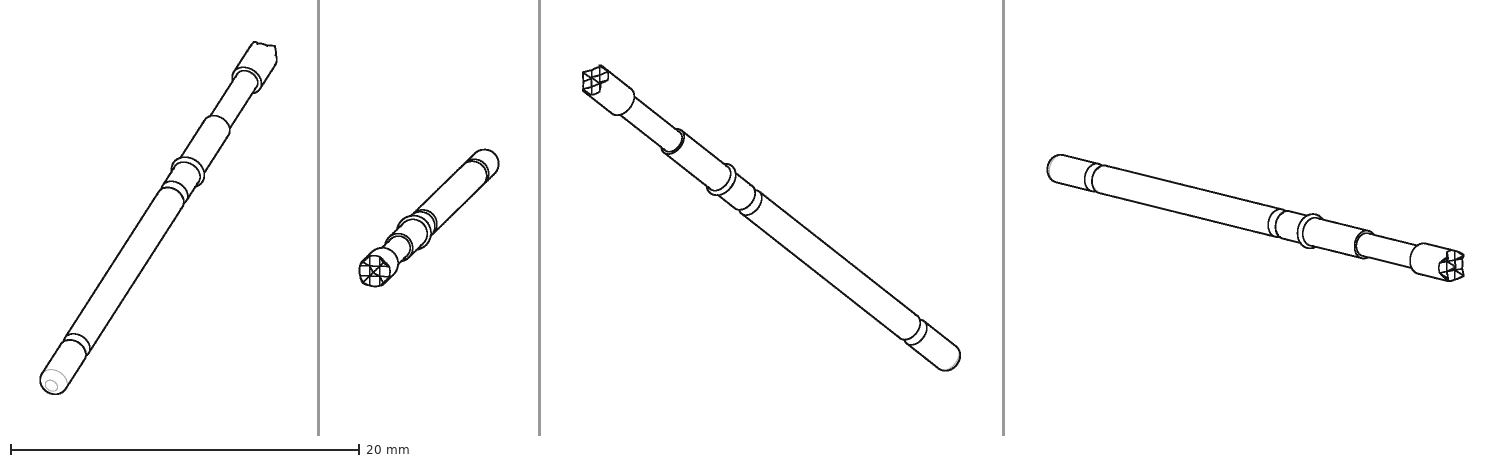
import cadquery as cq

total_length = 35.4

head_radius = 0.9
head_length = 3.0
tooth_pitch = 0.59
tooth_height = 0.45
tooth_point_width = 0.01

plunger_radius = 0.67

barrel_radius = 0.815
barrel_front_from_tip = 8.0
end_round_radius = 0.44

ring_outer_radius = 1.0
ring_from_tip = 12.75

groove_distances_from_tip = (15.3, 31.5)
groove_width = 0.64
groove_depth = 0.15

tip_y = total_length / 2
tail_y = -total_length / 2
head_base_y = tip_y - head_length
tooth_floor_y = tip_y - tooth_height
barrel_front_y = tip_y - barrel_front_from_tip


def make_head():
    """Cylinder whose crown carries a centre spike and four corner spikes, trimmed to the head diameter."""
    blank = cq.Workplane("XZ", origin=(0, tip_y, 0)).circle(head_radius).extrude(head_length)
    core = (
        cq.Workplane("XZ", origin=(0, tooth_floor_y, 0))
        .circle(head_radius)
        .extrude(head_length - tooth_height)
    )
    corners = [(sx * tooth_pitch, sz * tooth_pitch) for sx in (-1, 1) for sz in (-1, 1)]
    for x, z in [(0, 0)] + corners:
        core = core.union(make_tooth(x, z).intersect(blank))
    return core


def make_tooth(x, z):
    """Square pyramid, one pitch wide at its base, pointing along +Y."""
    return (
        cq.Workplane("XZ", origin=(x, tooth_floor_y, z))
        .rect(tooth_pitch, tooth_pitch)
        .workplane(offset=-tooth_height)
        .rect(tooth_point_width, tooth_point_width)
        .loft(ruled=True)
    )


def make_plunger():
    """Plain rod joining the head to the barrel."""
    rod_length = head_base_y - barrel_front_y
    return cq.Workplane("XZ", origin=(0, head_base_y, 0)).circle(plunger_radius).extrude(rod_length)


def make_barrel():
    """Barrel with a square front shoulder and a rounded tail with a small flat."""
    diagonal_inset = end_round_radius * (1 - 0.5**0.5)
    return (
        cq.Workplane("XY")
        .moveTo(0, barrel_front_y)
        .lineTo(barrel_radius, barrel_front_y)
        .lineTo(barrel_radius, tail_y + end_round_radius)
        .threePointArc(
            (barrel_radius - diagonal_inset, tail_y + diagonal_inset),
            (barrel_radius - end_round_radius, tail_y),
        )
        .lineTo(0, tail_y)
        .close()
        .revolve(360, (0, 0, 0), (0, 1, 0))
    )


def make_press_ring():
    """Half-round bead standing proud of the barrel."""
    bead_radius = ring_outer_radius - barrel_radius
    ring_y = tip_y - ring_from_tip
    return (
        cq.Workplane("XY")
        .moveTo(0, ring_y + bead_radius)
        .lineTo(barrel_radius, ring_y + bead_radius)
        .threePointArc((ring_outer_radius, ring_y), (barrel_radius, ring_y - bead_radius))
        .lineTo(0, ring_y - bead_radius)
        .close()
        .revolve(360, (0, 0, 0), (0, 1, 0))
    )


def make_groove(distance_from_tip):
    """Ring-shaped cutter with an arc floor, as deep as a crimp groove."""
    centre_y = tip_y - distance_from_tip
    front_y = centre_y + groove_width / 2
    back_y = centre_y - groove_width / 2
    return (
        cq.Workplane("XY")
        .moveTo(ring_outer_radius, front_y)
        .lineTo(barrel_radius, front_y)
        .threePointArc((barrel_radius - groove_depth, centre_y), (barrel_radius, back_y))
        .lineTo(ring_outer_radius, back_y)
        .close()
        .revolve(360, (0, 0, 0), (0, 1, 0))
    )


result = make_head().union(make_plunger()).union(make_barrel()).union(make_press_ring())
for distance in groove_distances_from_tip:
    result = result.cut(make_groove(distance))